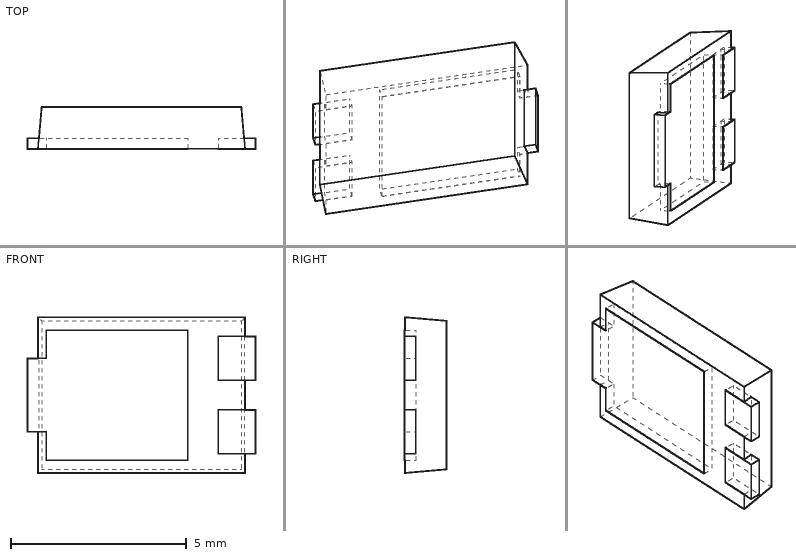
import cadquery as cq
import math

overall_length = 6.5
overall_thickness = 1.2

body_length = 5.895
body_height = 4.44
draft_angle = 5.0

metal_thickness = 0.32
metal_standoff = 0.01
pad_end = 4.56
pad_height = 3.7
tab_length = 0.54
tab_height = 2.09
lead_length = 1.065
lead_height = 1.255
lead_pitch = 2.09

body_thickness = overall_thickness - metal_standoff


def metal_block(x_start, x_end, height, z_center=0.0):
    """Flat metal block between two X positions, reaching back from Y = 0."""
    return (
        cq.Workplane("XY")
        .box(x_end - x_start, metal_thickness, height, centered=(False, False, True))
        .translate((x_start, 0, z_center))
    )


def make_pad():
    """Heat-sink pad with a narrower tab leaving the body at the -X end."""
    plate = metal_block(tab_length, pad_end, pad_height)
    tab = metal_block(0, tab_length, tab_height)
    return plate.union(tab)


def make_lead(z_center):
    """Flat rectangular terminal at the +X end."""
    return metal_block(overall_length - lead_length, overall_length, lead_height, z_center)


def make_body(inserts):
    """Drafted block with a recess for each metal insert."""
    inset = body_thickness * math.tan(math.radians(draft_angle))
    body = (
        cq.Workplane("XZ", origin=(overall_length / 2, metal_standoff, 0))
        .rect(body_length, body_height)
        .workplane(offset=-body_thickness)
        .rect(body_length - 2 * inset, body_height - 2 * inset)
        .loft(ruled=True)
    )
    for insert in inserts:
        body = body.cut(insert)
    return body


pad = make_pad()
leads = [make_lead(side * lead_pitch / 2) for side in (-1, 1)]
body = make_body([pad, *leads])

result = cq.Compound.makeCompound([body.val(), pad.val(), *[lead.val() for lead in leads]])